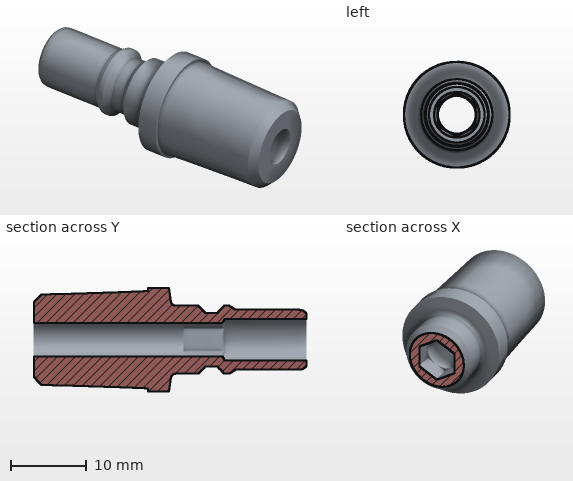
import cadquery as cq
import math

length = 36.0

tip_radius = 8.4 / 2
tip_face_radius = 3.67
tip_break_x = 0.15
tip_break_radius = 3.85
tip_bevel_x = 0.45
tip_bevel_radius = 4.1
tip_start_x = 1.0

collar_radius = 9.4 / 2
groove_radius = 7.6 / 2
groove_slope = collar_radius - groove_radius
rib_foot_x = 9.4
rib_start_x = 10.22
rib_end_x = 10.87
groove_end_x = 13.4
neck_end_x = 17.3

flange_radius = 14.0 / 2
flange_start_x = 18.15
flange_end_x = 20.95
flange_face_angle = math.radians(10)
corner_radius = 0.58

taper_start_radius = 6.6
taper_slope = 1 / 32
end_chamfer = 1.0
taper_end_x = length - end_chamfer
taper_end_radius = taper_start_radius - (taper_end_x - flange_end_x) * taper_slope

bore_radius = 6.0 / 2
bore_depth = 10.8
through_radius = 5.0 / 2
drill_half_angle = math.radians(60)
hex_width = 5.0
hex_end_x = 16.2


def revolve_about_x(profile):
    return profile.close().revolve(360, (0, 0, 0), (1, 0, 0))


def make_body():
    sin_face = math.sin(flange_face_angle)
    cos_face = math.cos(flange_face_angle)
    corner_center_r = collar_radius + corner_radius
    arc_end = (
        neck_end_x + corner_radius * cos_face,
        corner_center_r - corner_radius * sin_face,
    )
    middle_angle = (math.pi / 2 + flange_face_angle) / 2
    arc_middle = (
        neck_end_x + corner_radius * math.cos(middle_angle),
        corner_center_r - corner_radius * math.sin(middle_angle),
    )
    profile = (
        cq.Workplane("XY")
        .lineTo(0, tip_face_radius)
        .lineTo(tip_break_x, tip_break_radius)
        .lineTo(tip_bevel_x, tip_bevel_radius)
        .lineTo(tip_start_x, tip_radius)
        .lineTo(rib_foot_x, tip_radius)
        .lineTo(rib_start_x, collar_radius)
        .lineTo(rib_end_x, collar_radius)
        .lineTo(rib_end_x + groove_slope, groove_radius)
        .lineTo(groove_end_x, groove_radius)
        .lineTo(groove_end_x + groove_slope, collar_radius)
        .lineTo(neck_end_x, collar_radius)
        .threePointArc(arc_middle, arc_end)
        .lineTo(flange_start_x, flange_radius)
        .lineTo(flange_end_x, flange_radius)
        .lineTo(flange_end_x, taper_start_radius)
        .lineTo(taper_end_x, taper_end_radius)
        .lineTo(length, taper_end_radius - end_chamfer)
        .lineTo(length, 0)
    )
    return revolve_about_x(profile)


def make_bore():
    cone_length = (bore_radius - through_radius) / math.tan(drill_half_angle)
    profile = (
        cq.Workplane("XY")
        .lineTo(0, bore_radius)
        .lineTo(bore_depth, bore_radius)
        .lineTo(bore_depth + cone_length, through_radius)
        .lineTo(length, through_radius)
        .lineTo(length, 0)
    )
    return revolve_about_x(profile)


def make_hex_socket():
    corner_diameter = hex_width / math.cos(math.pi / 6)
    return (
        cq.Workplane("YZ", origin=(bore_depth, 0, 0))
        .transformed(rotate=(0, 0, 90))
        .polygon(6, corner_diameter)
        .extrude(hex_end_x - bore_depth)
    )


result = make_body().cut(make_bore()).cut(make_hex_socket())